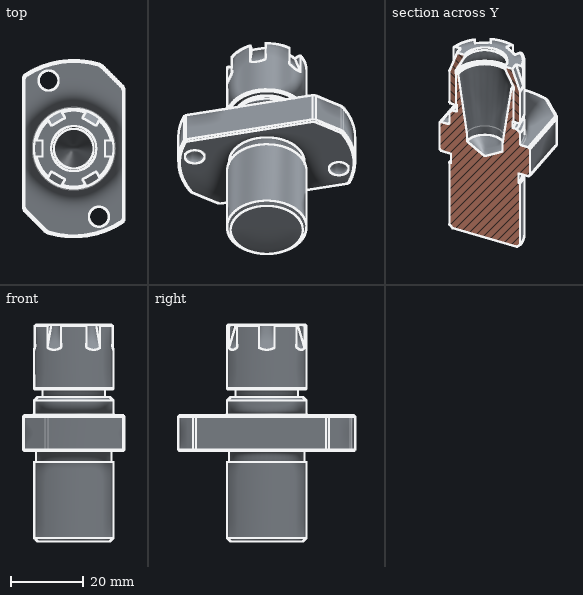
import cadquery as cq
import math

total_height = 60.0
shank_top = 22.0
flange_bottom = 25.0
flange_top = 35.0
collar_top = 40.0
nut_bottom = 42.0
spigot_top = 53.0

body_diameter = 22.0
neck_diameter = 21.0
relief_diameter = 17.4
spigot_diameter = 18.0
body_chamfer = 1.0
collar_fillet = 0.5

flange_width = 28.1
flange_diameter = 49.0
flange_chamfer = 0.5
corner_cut_distance = 21.85
bolt_diameter = 5.45
bolt_x = 6.95
bolt_y = 18.85

taper_diameter = 16.3
taper_half_angle = 8.0
bore_diameter = 11.0
bore_length = 3.0
drill_tip_half_angle = 59.0

nut_rim_radial = 0.5
nut_rim_height = 0.35
nut_base_radial = 0.3
nut_base_height = 0.5

mouth_diameter = 12.5
mouth_depth = 0.9
cone_bottom_depth = 6.4

slot_count = 6
slot_width = 4.4
slot_depth = 6.95
slot_floor_radius = 8.6

body_radius = body_diameter / 2
relief_radius = relief_diameter / 2
spigot_radius = spigot_diameter / 2
mouth_radius = mouth_diameter / 2
taper_radius = taper_diameter / 2
bore_radius = bore_diameter / 2


def revolve_profile(points):
    """Revolve a closed (radius, height) profile about the Z axis."""
    return cq.Workplane("XZ").polyline(points).close().revolve(360, (0, 0, 0), (0, 1, 0))


def make_flange():
    """Round plate with two flats, two cut corners, bevelled edges and two bolt holes."""
    thickness = flange_top - flange_bottom
    base = cq.Workplane("XY").workplane(offset=flange_bottom)
    flange = base.circle(flange_diameter / 2).extrude(thickness)
    flats = base.rect(flange_width, flange_diameter).extrude(thickness)
    diagonal_band = (
        base.transformed(rotate=(0, 0, 45)).rect(2 * corner_cut_distance, 2 * flange_diameter).extrude(thickness)
    )
    flange = flange.intersect(flats).intersect(diagonal_band)
    flange = flange.edges("|Z").chamfer(flange_chamfer)
    flange = flange.faces("<Z or >Z").edges().chamfer(flange_chamfer)
    bolt_holes = (
        base.pushPoints([(-bolt_x, bolt_y), (bolt_x, -bolt_y)]).circle(bolt_diameter / 2).extrude(thickness)
    )
    return flange.cut(bolt_holes)


def make_stem():
    """Turned shank, neck, collar, relief groove and spigot on one axis."""
    neck_radius = neck_diameter / 2
    fillet_root = body_radius + collar_fillet
    fillet_end = flange_top + collar_fillet
    fillet_sag = collar_fillet * (1 - math.sqrt(0.5))
    outline = (
        cq.Workplane("XZ")
        .lineTo(body_radius - body_chamfer, 0)
        .lineTo(body_radius, body_chamfer)
        .lineTo(body_radius, shank_top)
        .lineTo(neck_radius, shank_top)
        .lineTo(neck_radius, flange_top)
        .lineTo(fillet_root, flange_top)
        .threePointArc((body_radius + fillet_sag, flange_top + fillet_sag), (body_radius, fillet_end))
        .lineTo(body_radius, collar_top - body_chamfer)
        .lineTo(body_radius - body_chamfer, collar_top)
        .lineTo(relief_radius, collar_top)
        .lineTo(relief_radius, nut_bottom)
        .lineTo(spigot_radius, nut_bottom)
        .lineTo(spigot_radius, spigot_top)
        .lineTo(0, spigot_top)
        .close()
    )
    return outline.revolve(360, (0, 0, 0), (0, 1, 0))


def make_bore():
    """Blind collet taper in the top of the spigot, ending in a bore with a drill tip."""
    taper_bottom = spigot_top - (taper_radius - bore_radius) / math.tan(math.radians(taper_half_angle))
    bore_floor = taper_bottom - bore_length
    tip_length = bore_radius / math.tan(math.radians(drill_tip_half_angle))
    return revolve_profile([
        (0, spigot_top),
        (taper_radius, spigot_top),
        (bore_radius, taper_bottom),
        (bore_radius, bore_floor),
        (0, bore_floor - tip_length),
    ])


def make_holder():
    """Tool holder: flange and turned stem with the blind tapered bore."""
    return make_stem().union(make_flange()).cut(make_bore())


def make_slot():
    """Cutter for one wrench slot on the +X side of the nut."""
    floor_bottom = total_height - slot_depth
    return (
        cq.Workplane("XZ")
        .polyline([
            (slot_floor_radius, total_height),
            (body_radius, floor_bottom),
            (body_radius, total_height),
        ])
        .close()
        .extrude(slot_width / 2, both=True)
    )


def make_nut():
    """Clamping nut around the spigot, with a conical cavity behind its mouth and wrench slots."""
    mouth_bottom = total_height - mouth_depth
    cone_bottom = total_height - cone_bottom_depth
    nut = revolve_profile([
        (spigot_radius, nut_bottom),
        (body_radius - nut_base_radial, nut_bottom),
        (body_radius, nut_bottom + nut_base_height),
        (body_radius, total_height - nut_rim_height),
        (body_radius - nut_rim_radial, total_height),
        (mouth_radius, total_height),
        (mouth_radius, mouth_bottom),
        (spigot_radius, cone_bottom),
    ])
    slot = make_slot()
    for index in range(slot_count):
        nut = nut.cut(slot.rotate((0, 0, 0), (0, 0, 1), index * 360 / slot_count))
    return nut


holder = make_holder()
nut = make_nut()

result = cq.Compound.makeCompound([holder.val(), nut.val()])